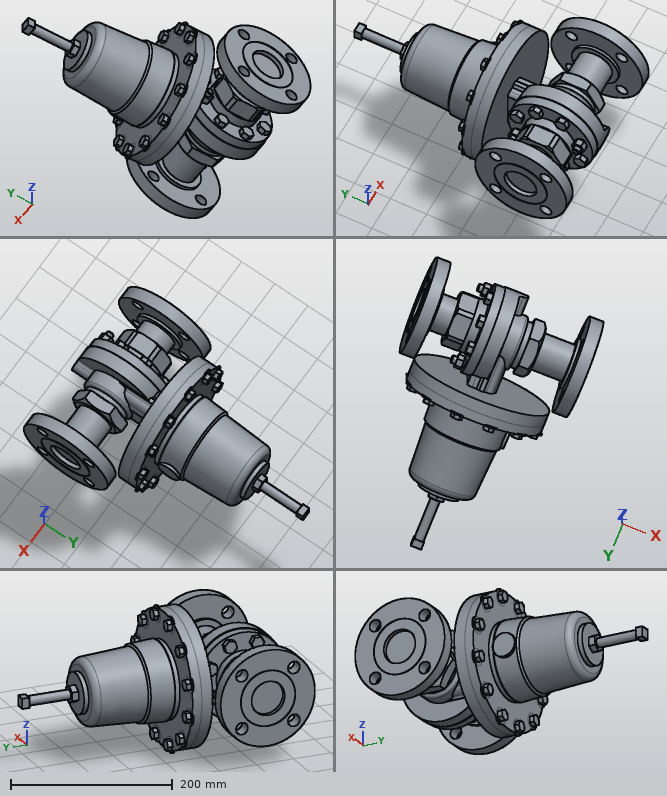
import cadquery as cq
import math


overall_length = 222.0
face_length = 220.7
flange_radius = 63.5
flange_thickness = 17.5
flange_hub_radius = 32.5
flange_hub_length = 4.2
raised_face_radius = 36.5
bore_radius = 22.5
bore_depth = 6.0
flange_bolt_circle = 49.5
flange_hole_diameter = 15.7
flange_hole_count = 4
pipe_radius = 24.0

nut_flats = 64.5
nut_corners = nut_flats / math.cos(math.pi / 6)
left_nut_start = -67.0
left_nut_end = -44.0
left_nut_radius = 35.5
left_nut_chamfer = 2.0
right_nut_start = 30.0
right_nut_end = 47.0
right_nut_face_radius = 30.5
right_nut_chamfer_length = 4.5
right_nut_small_chamfer = 1.0

cover_start = -31.0
cover_end = -18.5
cover_radius = 58.5
cover_neck_radius = 35.0
body_flange_end = 0.7
body_flange_radius = 59.7
barrel_end = 22.7
barrel_radius = 35.5
barrel_fillet = 4.2
spigot_radius = 30.5

cover_bolt_circle = 48.0
cover_bolt_count = 8
cover_bolt_corners = 17.5
cover_head_height = 7.5
cover_head_twist = 7.5
stud_radius = 5.0
stud_chamfer = 1.0
stud_length = 17.8
stud_nut_gap = 2.8
stud_nut_height = 8.7
stud_positions = (3, 7)

lug_tip = 12.5
lug_waist = 5.2
lug_waist_half_width = 9.0
lug_base_half_width = 13.5
lug_blend_inset = 1.0

neck_left = -19.5
neck_corner_start = 28.0
neck_corner_radius = 6.3
neck_corner_end = -13.5
neck_step = 32.0
neck_ramp_start = -7.5
neck_ridge_start = -4.0
neck_ridge = 35.3
neck_ridge_end = 2.0
neck_groove_radius = 3.5
neck_shoulder_start = 5.2
neck_shoulder = 31.8
neck_shoulder_radius = 9.0
neck_shoulder_end = 14.5
neck_waist = 23.5
neck_right = 18.0
neck_side = 15.7

case_bottom = 65.3
case_split = 80.5
case_top = 92.5
case_radius = 89.8
case_bolt_circle = 82.0
case_bolt_count = 12
case_bolt_pitch = 360 / case_bolt_count
bolt_pad_radius = 11.0
bolt_pad_thickness = 1.5
case_bolt_corners = 15.0
case_head_height = 6.3

bonnet_foot_radius = 52.0
bonnet_foot_top = 100.5
bonnet_base_radius = 51.0
bonnet_base_top = 99.2
bonnet_shoulder_radius = 50.3
bonnet_shoulder = 131.3
bonnet_step_radius = 47.5
bonnet_step = 133.8
dome_edge_radius = 44.0
dome_edge = 196.0
dome_top = 205.0
dome_fillet = 8.5
cap_top = 211.3
cap_radius = 27.0
vent_radius = 15.7
vent_height = 115.0
vent_tip = 53.5

lock_nut_top = 220.0
lock_nut_flats = 19.5
screw_radius = 6.3
square_start = 276.0
screw_end = 285.7
square_side = 13.5


def disc_x(radius, start, end):
    """Cylinder on the X axis."""
    return cq.Workplane("YZ").workplane(offset=start).circle(radius).extrude(end - start)


def disc_y(radius, start, end):
    """Cylinder on the Y axis."""
    return cq.Workplane("XZ").workplane(offset=-start).circle(radius).extrude(start - end)


def hex_x(corners, start, end):
    """Hexagon on the X axis with corners on +Y and -Y."""
    return cq.Workplane("YZ").workplane(offset=start).polygon(6, corners).extrude(end - start)


def hex_y(corners, start, end):
    """Hexagon on the Y axis with corners on +X and -X."""
    return cq.Workplane("XZ").workplane(offset=-start).polygon(6, corners).extrude(start - end)


def end_flange():
    """Flange at the -X end with its raised face, hub and bolt holes."""
    face = -face_length / 2
    back = face + flange_thickness
    flange = disc_x(flange_radius, face, back)
    flange = flange.union(disc_x(raised_face_radius, -overall_length / 2, face))
    flange = flange.union(disc_x(flange_hub_radius, back, back + flange_hub_length))
    holes = (
        cq.Workplane("YZ").workplane(offset=face)
        .polarArray(flange_bolt_circle, 180 / flange_hole_count, 360, flange_hole_count)
        .circle(flange_hole_diameter / 2).extrude(flange_thickness)
    )
    return flange.cut(holes)


def bore():
    """Blind recess in the -X face."""
    return disc_x(bore_radius, -overall_length / 2, bore_depth - overall_length / 2)


def left_nut():
    """Hexagon with its corners turned down and its outer end chamfered."""
    turned = disc_x(left_nut_radius, left_nut_start, left_nut_end)
    turned = turned.faces("<X").chamfer(left_nut_chamfer)
    return hex_x(nut_corners, left_nut_start, left_nut_end).intersect(turned)


def right_nut():
    """Hexagon with a long conical chamfer on its outer end."""
    corner = nut_corners / 2
    turned = (
        cq.Workplane("XY")
        .moveTo(right_nut_start, 0)
        .lineTo(right_nut_start, corner - right_nut_small_chamfer)
        .lineTo(right_nut_start + right_nut_small_chamfer, corner)
        .lineTo(right_nut_end - right_nut_chamfer_length, corner)
        .lineTo(right_nut_end, right_nut_face_radius)
        .lineTo(right_nut_end, 0)
        .close()
        .revolve(360, (0, 0, 0), (1, 0, 0))
    )
    return hex_x(nut_corners, right_nut_start, right_nut_end).intersect(turned)


def valve_body():
    """Cover plate, body flange and barrel, all turned about the X axis."""
    barrel = disc_x(barrel_radius, cover_end, barrel_end).faces(">X").edges().fillet(barrel_fillet)
    body = disc_x(cover_neck_radius, left_nut_end, cover_start)
    body = body.union(disc_x(cover_radius, cover_start, cover_end))
    body = body.union(disc_x(body_flange_radius, cover_end, body_flange_end))
    return body.union(barrel).union(disc_x(spigot_radius, barrel_end, right_nut_start))


def body_lug():
    """Rounded lug on the -Y side, trimmed to the body flange radius."""
    blend_x = (body_flange_end + lug_waist) / 2 - lug_blend_inset
    blend_z = (lug_base_half_width + lug_waist_half_width) / 2 - lug_blend_inset
    lug = (
        cq.Workplane("XZ")
        .moveTo(body_flange_end, -lug_base_half_width)
        .threePointArc((blend_x, -blend_z), (lug_waist, -lug_waist_half_width))
        .threePointArc((lug_tip, 0), (lug_waist, lug_waist_half_width))
        .threePointArc((blend_x, blend_z), (body_flange_end, lug_base_half_width))
        .lineTo(cover_end, lug_base_half_width)
        .lineTo(cover_end, -lug_base_half_width)
        .close()
        .extrude(body_flange_radius)
    )
    return lug.intersect(disc_x(body_flange_radius, cover_end, lug_tip))


def case_neck():
    """Ribbed column from the valve body up to the case, symmetric about Z = 0."""
    half = (
        cq.Workplane("XZ")
        .moveTo(neck_left, 0)
        .lineTo(neck_left, neck_corner_start)
        .radiusArc((neck_corner_end, neck_step), neck_corner_radius)
        .lineTo(neck_ramp_start, neck_step)
        .lineTo(neck_ridge_start, neck_ridge)
        .lineTo(neck_ridge_end, neck_ridge)
        .radiusArc((neck_shoulder_start, neck_shoulder), -neck_groove_radius)
        .radiusArc((neck_shoulder_end, neck_waist), neck_shoulder_radius)
        .lineTo(neck_right, neck_side)
        .lineTo(neck_right, 0)
        .close()
        .extrude(-case_bottom)
    )
    return half.union(half.mirror("XY"))


def cover_bolts():
    """Ring of bolt heads on the cover; two opposite ones are studs with nuts."""
    head = hex_x(cover_bolt_corners, cover_start - cover_head_height, cover_start)
    nut_end = cover_start - stud_nut_gap
    stud = disc_x(stud_radius, cover_start - stud_length, cover_start)
    stud = stud.faces("<X").chamfer(stud_chamfer)
    stud = stud.union(hex_x(cover_bolt_corners, nut_end - stud_nut_height, nut_end))
    bolts = cq.Workplane("YZ")
    for index in range(cover_bolt_count):
        degrees = 360 * (index + 0.5) / cover_bolt_count
        angle = math.radians(degrees)
        turned_head = head.rotate((0, 0, 0), (1, 0, 0), degrees + cover_head_twist)
        shape = stud if index in stud_positions else turned_head
        place = (0, cover_bolt_circle * math.cos(angle), cover_bolt_circle * math.sin(angle))
        bolts = bolts.union(shape.translate(place))
    return bolts


def diaphragm_case():
    """Two clamped discs with a ring of bolt pads and hexagon heads."""
    case = disc_y(case_radius, case_bottom, case_split)
    case = case.union(disc_y(case_radius, case_split, case_top), clean=False)
    bolt = disc_y(bolt_pad_radius, case_top - bolt_pad_thickness, case_top)
    head = hex_y(case_bolt_corners, case_top, case_top + case_head_height)
    head = head.rotate((0, 0, 0), (0, 1, 0), case_bolt_pitch / 2)
    bolt = bolt.union(head).translate((case_bolt_circle, 0, 0))
    for index in range(case_bolt_count):
        angle = case_bolt_pitch * (index + 0.5)
        case = case.union(bolt.rotate((0, 0, 0), (0, 1, 0), angle), clean=False)
    return case


def bonnet():
    """Tapered spring bonnet with a narrower base, a domed top, a cap and a vent boss on +X."""
    shell = (
        cq.Workplane("XY")
        .moveTo(0, case_top)
        .lineTo(bonnet_base_radius, case_top)
        .lineTo(bonnet_base_radius, bonnet_base_top)
        .lineTo(bonnet_foot_radius, bonnet_base_top)
        .lineTo(bonnet_foot_radius, bonnet_foot_top)
        .lineTo(bonnet_shoulder_radius, bonnet_shoulder)
        .lineTo(bonnet_step_radius, bonnet_step)
        .lineTo(dome_edge_radius, dome_edge)
        .radiusArc((dome_edge_radius - dome_fillet, dome_top), -(dome_top - dome_edge))
        .lineTo(cap_radius, dome_top)
        .lineTo(cap_radius, cap_top)
        .lineTo(0, cap_top)
        .close()
        .revolve(360, (0, 0, 0), (0, 1, 0))
    )
    return shell.union(disc_x(vent_radius, 0, vent_tip).translate((0, vent_height, 0)))


def adjusting_screw():
    """Screw with a lock nut at its foot and a square drive on its end."""
    lock_nut_corners = lock_nut_flats / math.cos(math.pi / 6)
    nut = hex_y(lock_nut_corners, cap_top, lock_nut_top).rotate((0, 0, 0), (0, 1, 0), 90)
    square = (
        cq.Workplane("XZ").workplane(offset=-square_start)
        .rect(square_side, square_side).extrude(square_start - screw_end)
    )
    return nut.union(disc_y(screw_radius, cap_top, square_start)).union(square)


pipe_end = face_length / 2
result = disc_x(pipe_radius, -pipe_end, pipe_end)
for feature in (
    end_flange(),
    end_flange().mirror("YZ"),
    left_nut(),
    right_nut(),
    valve_body().union(body_lug()),
    case_neck(),
    cover_bolts(),
    diaphragm_case(),
    bonnet(),
    adjusting_screw(),
):
    result = result.union(feature, clean=False)
result = result.cut(bore(), clean=False).cut(bore().mirror("YZ"), clean=False)